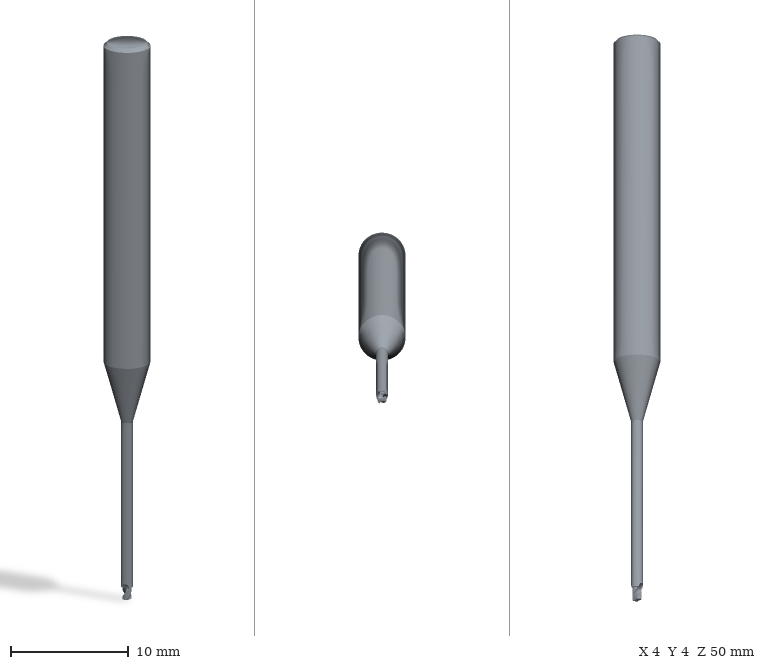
import cadquery as cq
import math

overall_length = 50.0
shank_diameter = 4.0
shank_chamfer = 0.3

neck_diameter = 1.0
neck_top = 16.0
cone_half_angle = 15.6
cone_height = (shank_diameter - neck_diameter) / 2 / math.tan(math.radians(cone_half_angle))
cone_top = neck_top + cone_height

cutter_diameter = 0.8
cutter_length = 1.0
point_angle = 150.0
point_height = cutter_diameter / 2 / math.tan(math.radians(point_angle / 2))
neck_bottom = 1.2

flute_count = 2
flute_radius = 0.35
web_diameter = 0.26
flute_center_radius = web_diameter / 2 + flute_radius
flute_end = neck_bottom
helix_angle = 38.0
flute_start_angle = 130.0
helix_lead = math.pi * cutter_diameter / math.tan(math.radians(helix_angle))
flute_twist = 360.0 * flute_end / helix_lead


def make_holder():
    """Shank, cone, neck and the short reduced end that carries the cutter."""
    shank_radius = shank_diameter / 2
    neck_radius = neck_diameter / 2
    cutter_radius = cutter_diameter / 2
    return (
        cq.Workplane("XZ")
        .moveTo(0, cutter_length)
        .lineTo(cutter_radius, cutter_length)
        .lineTo(cutter_radius, neck_bottom)
        .lineTo(neck_radius, neck_bottom)
        .lineTo(neck_radius, neck_top)
        .lineTo(shank_radius, cone_top)
        .lineTo(shank_radius, overall_length - shank_chamfer)
        .lineTo(shank_radius - shank_chamfer, overall_length)
        .lineTo(0, overall_length)
        .close()
        .revolve(360, (0, 0, 0), (0, 1, 0))
    )


def make_cutter():
    """Cylindrical cutting end with a shallow conical point, before the flutes are ground."""
    cutter_radius = cutter_diameter / 2
    return (
        cq.Workplane("XZ")
        .moveTo(0, 0)
        .lineTo(cutter_radius, point_height)
        .lineTo(cutter_radius, cutter_length)
        .lineTo(0, cutter_length)
        .close()
        .revolve(360, (0, 0, 0), (0, 1, 0))
    )


def cut_flute(body, start_angle):
    """Grind one helical flute and its ball-shaped run-out into a body."""
    groove = (
        cq.Workplane("XY")
        .pushPoints([(flute_center_radius, 0)])
        .circle(flute_radius)
        .twistExtrude(flute_end, flute_twist)
        .rotate((0, 0, 0), (0, 0, 1), start_angle)
    )
    end_angle = math.radians(start_angle + flute_twist)
    run_out = cq.Workplane("XY").sphere(flute_radius).translate(
        (flute_center_radius * math.cos(end_angle), flute_center_radius * math.sin(end_angle), flute_end)
    )
    return body.cut(groove).cut(run_out)


holder = make_holder()
cutter = make_cutter()
for index in range(flute_count):
    flute_angle = flute_start_angle + index * 360.0 / flute_count
    holder = cut_flute(holder, flute_angle)
    cutter = cut_flute(cutter, flute_angle)

result = cq.Compound.makeCompound([holder.val(), cutter.val()])